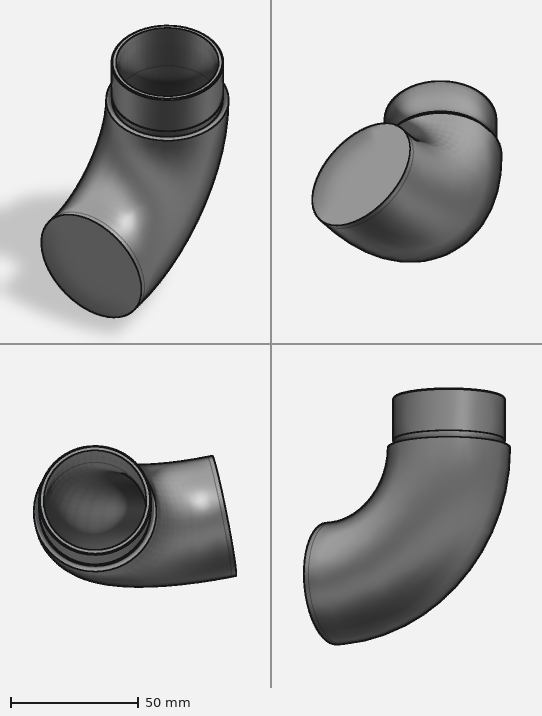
import cadquery as cq

outer_diameter = 48.3
bore_diameter = 40.3
bend_radius = 49.9
cap_thickness = 2.0

spigot_diameter = 44.2
spigot_length = 19.9
relief_diameter = 43.8
relief_length = 3.0
rim_chamfer = 0.5


def quarter_bend(diameter):
    """Round bar bent from the XY plane at the origin down to face -Y."""
    return (
        cq.Workplane("XY")
        .circle(diameter / 2)
        .revolve(90, (0, -bend_radius, 0), (-1, -bend_radius, 0))
    )


def end_cap():
    """Solid disc closing the lower end of the bend."""
    return (
        cq.Workplane("XZ", origin=(0, -bend_radius, -bend_radius))
        .circle(outer_diameter / 2)
        .extrude(cap_thickness)
    )


def spigot():
    """Upright plug with a shallow relief at its foot and a chamfered rim."""
    relief = cq.Workplane("XY").circle(relief_diameter / 2).extrude(relief_length)
    barrel = (
        cq.Workplane("XY", origin=(0, 0, relief_length))
        .circle(spigot_diameter / 2)
        .extrude(spigot_length - relief_length)
        .faces(">Z")
        .edges()
        .chamfer(rim_chamfer)
    )
    return relief.union(barrel)


def bore():
    """Passage through the spigot and around the bend, stopping at the cap."""
    straight = cq.Workplane("XY").circle(bore_diameter / 2).extrude(spigot_length)
    return straight.union(quarter_bend(bore_diameter))


result = quarter_bend(outer_diameter).union(end_cap()).union(spigot()).cut(bore())